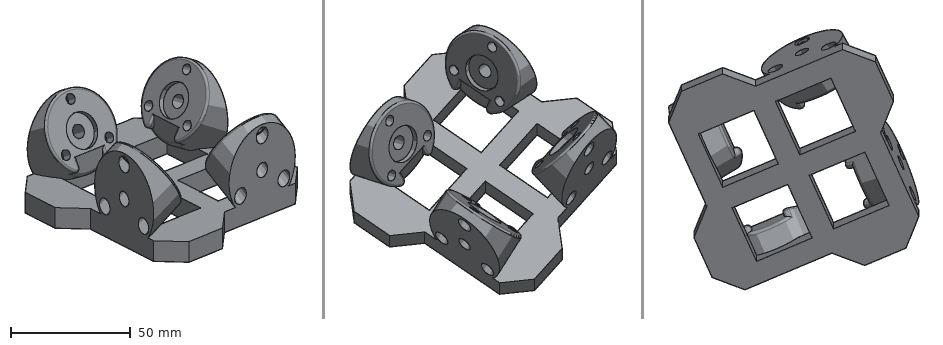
import cadquery as cq
import math

plate_size = 100.0
plate_thickness = 9.7
edge_distance = 39.6
lobe_chamfer = plate_size / 2 - edge_distance
window_near = 4.9
window_far = 30.2

pad_diameter = 37.0
pad_tilt = 30.0
pad_offset = edge_distance - pad_diameter / 2
pad_height = 22.2
pad_length = 15.7
face_fillet = 1.0

bore_diameter = 16.0
bore_depth = 2.5
centre_hole_diameter = 6.0
screw_circle_diameter = 28.0
screw_diameter = 4.5
screw_head_diameter = 6.5
screw_seat_thickness = 5.0

notch_width = 14.8
notch_distance = 21.4
notch_fillet = 2.0

pad_radius = pad_diameter / 2
tilt = math.radians(pad_tilt)
beyond = 2 * pad_diameter


def make_plate():
    near_corner = edge_distance - lobe_chamfer
    half = plate_size / 2
    outline = []
    for quarter in range(4):
        turn = math.radians(90 * quarter)
        corners = [
            (0, -edge_distance),
            (edge_distance, -edge_distance),
            (half, -near_corner),
            (half, -lobe_chamfer),
        ]
        for x, y in corners:
            turned_x = x * math.cos(turn) - y * math.sin(turn)
            turned_y = x * math.sin(turn) + y * math.cos(turn)
            outline.append((turned_x, turned_y))
    plate = cq.Workplane("XY").polyline(outline).close().extrude(plate_thickness)
    window_size = window_far - window_near
    window_middle = (window_far + window_near) / 2
    windows = (
        cq.Workplane("XY")
        .rect(2 * window_middle, 2 * window_middle, forConstruction=True)
        .vertices()
        .rect(window_size, window_size)
        .extrude(plate_thickness)
    )
    return plate.cut(windows)


def make_pad_blank(face):
    """Tilted cylinder, cut off flush with the plate edge and notched on its low side."""
    cylinder = cq.Workplane(face).circle(pad_radius).extrude(-beyond)
    outside = cq.Workplane("XY").box(2 * beyond, beyond, 4 * beyond)
    outside = outside.translate((pad_offset, -edge_distance - beyond / 2, 0))
    notch = cq.Workplane("XY").box(notch_width, beyond, 2 * beyond)
    notch = notch.translate((pad_offset, beyond / 2 - notch_distance, 0))
    return cylinder.cut(outside).cut(notch)


def is_notch_top(edge):
    return edge.geomType() == "LINE" and abs(edge.tangentAt(0).x) > 0.9


def round_pad(pad, face):
    reach = notch_width / 2 + notch_fillet
    notch_zone = cq.selectors.BoxSelector(
        (pad_offset - reach, -notch_distance - notch_fillet, 0),
        (pad_offset + reach, 0, face.origin.z),
    )
    pad = pad.faces("%CYLINDER").edges(notch_zone).fillet(notch_fillet)
    face_side = cq.selectors.DirectionMinMaxSelector(face.zDir, True)
    rim = pad.faces(face_side).edges().filter(lambda edge: not is_notch_top(edge))
    return rim.fillet(face_fillet)


def cut_ring(pad, plane, diameter, depth):
    holes = cq.Workplane(plane).polarArray(screw_circle_diameter / 2, -90, 360, 3)
    return pad.cut(holes.circle(diameter / 2).extrude(-depth))


def cut_centre(pad, plane, diameter, depth):
    return pad.cut(cq.Workplane(plane).circle(diameter / 2).extrude(-depth))


def make_pad():
    axis = cq.Vector(0, math.cos(tilt), math.sin(tilt))
    face_centre = cq.Vector(pad_offset, -edge_distance, pad_height) + axis * pad_length
    face = cq.Plane(face_centre, xDir=(1, 0, 0), normal=axis)
    screw_seat = cq.Plane(face_centre - axis * screw_seat_thickness, xDir=(1, 0, 0), normal=axis)

    pad = round_pad(make_pad_blank(face), face)
    pad = cut_ring(pad, face, screw_diameter, beyond)
    pad = cut_ring(pad, screw_seat, screw_head_diameter, beyond)
    pad = cut_centre(pad, face, centre_hole_diameter, beyond)
    return cut_centre(pad, face, bore_diameter, bore_depth)


result = make_plate()
pad = make_pad()
for quarter in range(4):
    result = result.union(pad.rotate((0, 0, 0), (0, 0, 1), 90 * quarter))